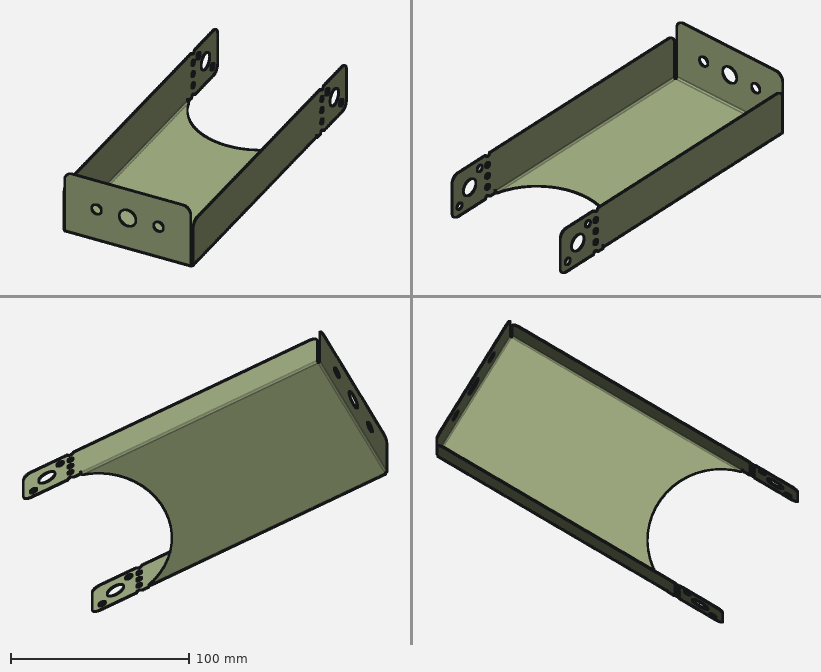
import cadquery as cq
import math

width = 82.0
length = 188.4
front_height = 40.0
side_height = 30.0

thickness = 0.5
bend_radius = 1.3
corner_radius = 5.0
front_inset = 1.1
side_setback = 1.3

relief_width = 0.5
relief_height = 1.9

cutout_radius = 41.0
cutout_depth_y = 121.3

ear_hole_y = 173.5
ear_hole_diameter = 10.5
screw_offset = 8.5
screw_diameter = 4.3
perforation_y = 158.5
perforation_diameter = 3.4
perforation_count = 5

front_hole_z = 21.0
front_hole_diameter = 10.5
front_screw_spacing = 39.2
front_screw_diameter = 6.2

half_width = width / 2
front_half_width = half_width - front_inset
side_mid_z = side_height / 2
cutout_center_y = cutout_depth_y + cutout_radius
floor_half_width = half_width - bend_radius
floor_end_y = cutout_center_y - math.sqrt(cutout_radius**2 - floor_half_width**2)


def box(x_min, x_max, y_min, y_max, z_min, z_max):
    size = (x_max - x_min, y_max - y_min, z_max - z_min)
    return cq.Workplane("XY").box(*size, centered=False).translate((x_min, y_min, z_min))


def bend(plane, start, span):
    """Quarter-round strip joining the floor to a wall, with the wall's outer face at zero."""
    inner_radius = bend_radius - thickness
    outer_mid = bend_radius * (1 - math.sqrt(0.5))
    inner_mid = bend_radius - inner_radius * math.sqrt(0.5)
    return (
        cq.Workplane(plane, origin=start)
        .moveTo(0, bend_radius)
        .threePointArc((outer_mid, outer_mid), (bend_radius, 0))
        .lineTo(bend_radius, thickness)
        .threePointArc((inner_mid, inner_mid), (thickness, bend_radius))
        .close()
        .extrude(span)
    )


def make_floor():
    floor = box(-floor_half_width, floor_half_width, bend_radius, floor_end_y, 0, thickness)
    cutout = cq.Workplane("XY").center(0, cutout_center_y).circle(cutout_radius).extrude(thickness)
    return floor.cut(cutout)


def make_left_side():
    """Wall with a flat lower edge at the ear and a bend along the floor."""
    wall = box(-half_width, thickness - half_width, side_setback, length, 0, side_height)
    wall = wall.edges("|X and (>Y or (<Y and >Z))").fillet(corner_radius)
    wall = wall.cut(box(-half_width, thickness - half_width, side_setback, floor_end_y, 0, bend_radius))
    relief_end_y = floor_end_y + relief_width
    wall = wall.cut(box(-half_width, thickness - half_width, floor_end_y, relief_end_y, 0, relief_height))

    perforation_pitch = side_height / (perforation_count - 1)
    perforations = [(perforation_y, i * perforation_pitch) for i in range(perforation_count)]
    screws = [(ear_hole_y + s * screw_offset, side_mid_z - s * screw_offset) for s in (-1, 1)]
    holes = (
        (perforations, perforation_diameter),
        (screws, screw_diameter),
        ([(ear_hole_y, side_mid_z)], ear_hole_diameter),
    )
    for points, diameter in holes:
        cutter = cq.Workplane("YZ", origin=(-half_width, 0, 0)).pushPoints(points)
        wall = wall.cut(cutter.circle(diameter / 2).extrude(thickness))

    strip = bend("XZ", (-half_width, side_setback, 0), side_setback - floor_end_y)
    return wall.union(strip)


def make_front():
    plate = box(-front_half_width, front_half_width, 0, thickness, bend_radius, front_height)
    plate = plate.edges("|Y and >Z").fillet(corner_radius)
    screws = [(s * front_screw_spacing / 2, front_hole_z) for s in (-1, 1)]
    holes = (
        (screws, front_screw_diameter),
        ([(0, front_hole_z)], front_hole_diameter),
    )
    for points, diameter in holes:
        cutter = cq.Workplane("XZ").pushPoints(points)
        plate = plate.cut(cutter.circle(diameter / 2).extrude(-thickness))
    return plate.union(bend("YZ", (-front_half_width, 0, 0), 2 * front_half_width))


left_side = make_left_side()
result = make_floor().union(left_side).union(left_side.mirror("YZ")).union(make_front())